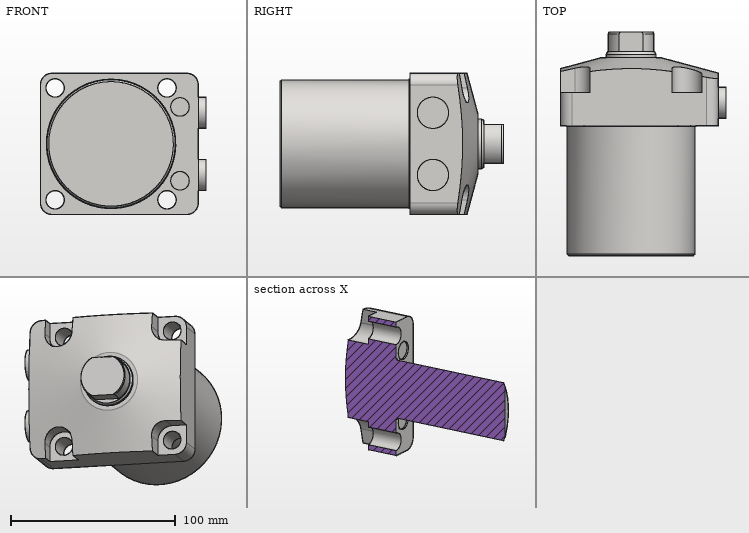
import cadquery as cq
import math

block_half = 43.0
block_right = 53.0
block_corner_radius = 7.1

crown_height = 41.5
crown_flat_radius = 18.0
cone_angle = 15.0

bolt_offset = 34.0
bolt_hole_diameter = 11.0
pocket_radius = 9.0
pocket_floor = 20.3

recess_diameter = 11.3
recess_depth = 1.1
recess_x = 41.9
recess_z = 22.5

barrel_diameter = 77.9
barrel_length = 79.0
barrel_chamfer = 1.1
collar_diameter = 78.7
collar_height = 0.5

rod_diameter = 30.5
rod_shoulder_height = 45.0
rod_shoulder_chamfer_height = 1.6
rod_shoulder_chamfer_width = 1.0
rod_end_diameter = 27.9
rod_end_chamfer_height = 1.2
rod_end_chamfer_width = 0.4
rod_tip_height = 57.0
rod_across_flats = 23.7

plug_diameter = 19.0
plug_length = 4.8
plug_height = 14.0
plug_z = 18.9


def cylinder(diameter, length, x=0, y=0, z=0):
    """Cylinder along +Y that starts at the given point."""
    return cq.Workplane(cq.Solid.makeCylinder(diameter / 2, length, cq.Vector(x, y, z), cq.Vector(0, 1, 0)))


def box(x_range, y_range, z_range):
    """Box between two limits on each axis."""
    size = [high - low for low, high in (x_range, y_range, z_range)]
    corner = cq.Vector(x_range[0], y_range[0], z_range[0])
    return cq.Workplane(cq.Solid.makeBox(*size, corner))


def turned(points):
    """Solid of revolution about the Y axis from (radius, height) points."""
    return cq.Workplane("XY").polyline(points).close().revolve(360, (0, 0, 0), (0, 1, 0))


def make_crowned_block():
    """Rounded block whose top is a shallow cone with a flat centre."""
    block = box((-block_half, block_right), (0, crown_height), (-block_half, block_half))
    block = block.edges("|Y").fillet(block_corner_radius)
    cone_radius = block_half + block_right
    cone_drop = (cone_radius - crown_flat_radius) * math.tan(math.radians(cone_angle))
    crown = turned([
        (0, 0),
        (cone_radius, 0),
        (cone_radius, crown_height - cone_drop),
        (crown_flat_radius, crown_height),
        (0, crown_height),
    ])
    return block.intersect(crown)


def make_barrel():
    """Barrel with a chamfered closed end and a low collar at the flange."""
    barrel = cylinder(barrel_diameter, barrel_length, y=-barrel_length)
    barrel = barrel.faces("<Y").chamfer(barrel_chamfer)
    return barrel.union(cylinder(collar_diameter, collar_height, y=-collar_height))


def make_left_pocket(side):
    """Corner pocket open to the left and to the upper (side=1) or lower (side=-1) face."""
    x_range = (-block_half, -bolt_offset + pocket_radius)
    z_range = sorted((side * (bolt_offset - pocket_radius), side * block_half))
    pocket = box(x_range, (pocket_floor, crown_height), z_range)
    inner_edge = "|Y and >X and " + ("<Z" if side > 0 else ">Z")
    return pocket.edges(inner_edge).fillet(pocket_radius)


def make_right_pocket(side):
    """Round-ended slot open only to the upper (side=1) or lower (side=-1) face."""
    height = crown_height - pocket_floor
    round_end = cylinder(2 * pocket_radius, height, bolt_offset, pocket_floor, side * bolt_offset)
    x_range = (bolt_offset - pocket_radius, bolt_offset + pocket_radius)
    z_range = sorted((side * bolt_offset, side * block_half))
    return round_end.union(box(x_range, (pocket_floor, crown_height), z_range))


def make_housing():
    housing = make_crowned_block()
    for side in (1, -1):
        housing = housing.cut(make_left_pocket(side)).cut(make_right_pocket(side))
        for x in (-bolt_offset, bolt_offset):
            housing = housing.cut(cylinder(bolt_hole_diameter, crown_height, x, 0, side * bolt_offset))
        housing = housing.cut(cylinder(recess_diameter, recess_depth, recess_x, 0, side * recess_z))
    return housing.union(make_barrel())


def make_rod():
    """Piston rod standing on the crown flat, with two wrench flats on its end."""
    rod_radius = rod_diameter / 2
    end_radius = rod_end_diameter / 2
    rod = turned([
        (0, crown_height),
        (rod_radius, crown_height),
        (rod_radius, rod_shoulder_height - rod_shoulder_chamfer_height),
        (rod_radius - rod_shoulder_chamfer_width, rod_shoulder_height),
        (end_radius, rod_shoulder_height),
        (end_radius, rod_tip_height - rod_end_chamfer_height),
        (end_radius - rod_end_chamfer_width, rod_tip_height),
        (0, rod_tip_height),
    ])
    for side in (1, -1):
        z_range = sorted((side * rod_across_flats / 2, side * rod_radius))
        rod = rod.cut(box((-rod_radius, rod_radius), (rod_shoulder_height, rod_tip_height), z_range))
    return rod


def make_plug(z):
    """Round screw plug seated on the port side of the block."""
    seat = cq.Vector(block_right, plug_height, z)
    return cq.Workplane(cq.Solid.makeCylinder(plug_diameter / 2, plug_length, seat, cq.Vector(1, 0, 0)))


housing = make_housing()
rod = make_rod()
plugs = [make_plug(side * plug_z) for side in (1, -1)]

result = cq.Compound.makeCompound([
    housing.solids().val(),
    rod.solids().val(),
    *[plug.val() for plug in plugs],
])